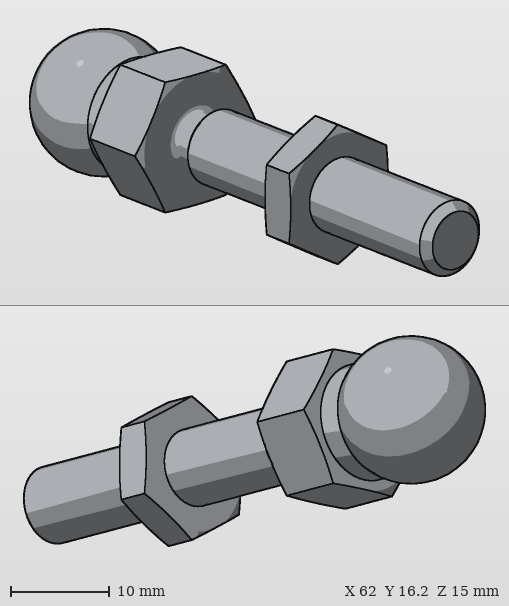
import cadquery as cq
import math

total_length = 62.0
ball_diameter = 15.0
collar_diameter = 12.0
rod_diameter = 8.0
rod_end_chamfer = 0.9

head_start = 14.5
head_length = 7.5
head_across_flats = 14.0
head_bevel_diameter = 14.15

undercut_diameter = 6.0
undercut_fillet = 0.7
rod_start = 25.2

nut_start = 40.05
nut_length = 3.95
nut_across_flats = 13.0
nut_bevel_diameter = 13.15

bevel_angle = math.radians(15)


def stud():
    """Ball, collar, filleted undercut and chamfered rod turned as one profile."""
    ball_radius = ball_diameter / 2
    collar_radius = collar_diameter / 2
    rod_radius = rod_diameter / 2
    undercut_radius = undercut_diameter / 2
    collar_start = ball_radius + math.sqrt(ball_radius**2 - collar_radius**2)
    head_end = head_start + head_length

    taper_start = rod_start - (rod_radius - undercut_radius)
    taper_angle = math.radians(45)
    tangent_length = undercut_fillet * math.tan(taper_angle / 2)
    blend_end = (
        taper_start + tangent_length * math.cos(taper_angle),
        undercut_radius + tangent_length * math.sin(taper_angle),
    )
    return (
        cq.Workplane("XY")
        .moveTo(0, 0)
        .threePointArc((ball_radius, ball_radius), (collar_start, collar_radius))
        .lineTo(head_end, collar_radius)
        .lineTo(head_end, undercut_radius + undercut_fillet)
        .radiusArc((head_end + undercut_fillet, undercut_radius), -undercut_fillet)
        .lineTo(taper_start - tangent_length, undercut_radius)
        .radiusArc(blend_end, -undercut_fillet)
        .lineTo(rod_start, rod_radius)
        .lineTo(total_length - rod_end_chamfer, rod_radius)
        .lineTo(total_length, rod_radius - rod_end_chamfer)
        .lineTo(total_length, 0)
        .close()
        .revolve(360, (0, 0, 0), (1, 0, 0))
    )


def hexagon(across_flats, start, length, bevel_diameter, corner_angle):
    """Hexagonal prism along X, its corners bevelled by a cone at both ends.

    A corner angle of 0 puts a corner on Y; 90 degrees puts one on Z.
    """
    corner_diameter = across_flats / math.cos(math.pi / 6)
    prism = (
        cq.Workplane("YZ", origin=(start, 0, 0))
        .polygon(6, corner_diameter)
        .extrude(length)
        .rotate((0, 0, 0), (1, 0, 0), corner_angle)
    )
    bevel_radius = bevel_diameter / 2
    middle_radius = bevel_radius + length / 2 / math.tan(bevel_angle)
    envelope = (
        cq.Workplane("XY")
        .moveTo(start, 0)
        .lineTo(start, bevel_radius)
        .lineTo(start + length / 2, middle_radius)
        .lineTo(start + length, bevel_radius)
        .lineTo(start + length, 0)
        .close()
        .revolve(360, (0, 0, 0), (1, 0, 0))
    )
    return prism.intersect(envelope)


head = hexagon(head_across_flats, head_start, head_length, head_bevel_diameter, 0)
nut = hexagon(nut_across_flats, nut_start, nut_length, nut_bevel_diameter, 90)

result = stud().union(head).union(nut)